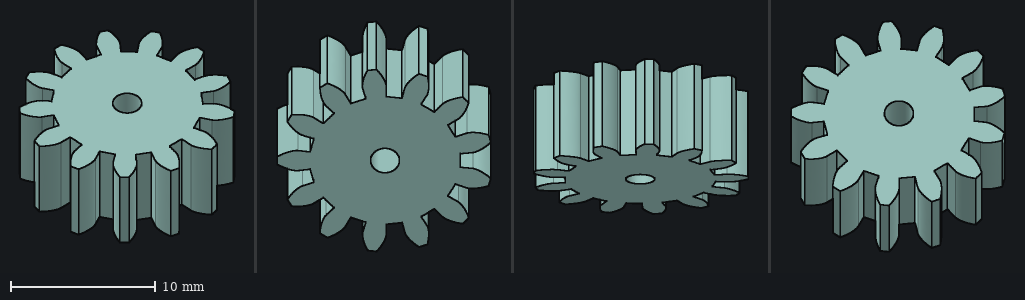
import cadquery as cq
import math

overall_depth = 14.95
face_width = 6.25
bore_diameter = 2.0
tooth_count = 13
pressure_angle = math.radians(20)
addendum_in_modules = 1.0
dedendum_in_modules = 1.25
points_per_flank = 20

pitch_ratio = tooth_count / 2
base_ratio = pitch_ratio * math.cos(pressure_angle)
tip_ratio = pitch_ratio + addendum_in_modules
root_ratio = pitch_ratio - dedendum_in_modules


def involute(angle):
    """Polar angle that an involute has swept at the given pressure angle."""
    return math.tan(angle) - angle


tooth_pitch = 2 * math.pi / tooth_count
base_half_angle = tooth_pitch / 4 + involute(pressure_angle)
tip_pressure_angle = math.acos(base_ratio / tip_ratio)
tip_half_angle = base_half_angle - involute(tip_pressure_angle)

top_tooth_angle = math.floor(tooth_count / 4) * tooth_pitch
module = overall_depth / (2 * tip_ratio * math.sin(top_tooth_angle + tip_half_angle))
base_radius = module * base_ratio
tip_radius = module * tip_ratio
root_radius = module * root_ratio


def polar(radius, angle):
    return (radius * math.cos(angle), radius * math.sin(angle))


def flank(center_angle, side):
    """Involute points from base to tip; side is -1 or +1 about the tooth centre."""
    points = []
    for i in range(points_per_flank):
        roll = math.tan(tip_pressure_angle) * i / (points_per_flank - 1)
        radius = base_radius * math.hypot(1, roll)
        half_angle = base_half_angle - (roll - math.atan(roll))
        points.append(polar(radius, center_angle + side * half_angle))
    return points


def gear_outline():
    outline = cq.Workplane("XY").moveTo(*polar(root_radius, -base_half_angle))
    for i in range(tooth_count):
        center = i * tooth_pitch
        rising = flank(center, -1)
        falling = flank(center, 1)[::-1]
        outline = outline.lineTo(*rising[0]).spline(rising[1:], includeCurrent=True)
        outline = outline.lineTo(*falling[0])
        outline = outline.spline(falling[1:], includeCurrent=True)
        outline = outline.lineTo(*polar(root_radius, center + base_half_angle))
        outline = outline.lineTo(*polar(root_radius, center + tooth_pitch - base_half_angle))
    return outline.close()


gear = gear_outline().extrude(face_width)
result = gear.faces(">Z").workplane(origin=(0, 0, face_width)).hole(bore_diameter)